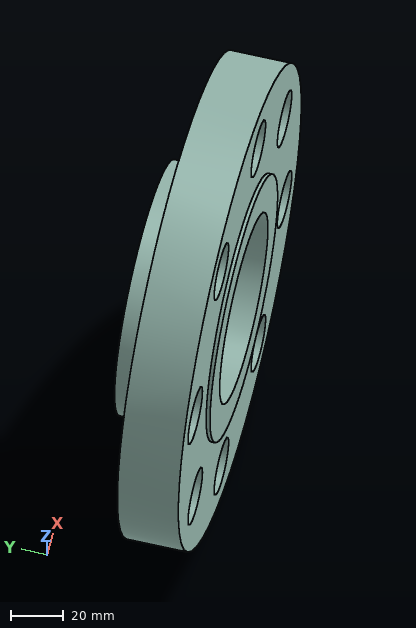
import cadquery as cq

total_length = 38.1
flange_diameter = 190.5
flange_thickness = 24.0
raised_face_diameter = 104.5
raised_face_height = 1.5
hub_diameter = 100.0
bore_diameter = 74.7

bolt_hole_count = 8
bolt_hole_diameter = 22.3
bolt_circle_diameter = 149.4
first_bolt_angle = 180 / bolt_hole_count

hub_height = total_length - flange_thickness - raised_face_height


def disc(diameter, start_y, thickness):
    """Solid disc about the Y axis, extending toward +Y from start_y."""
    plane = cq.Workplane("XZ", origin=(0, start_y, 0))
    return plane.circle(diameter / 2).extrude(-thickness)


raised_face = disc(raised_face_diameter, 0, raised_face_height)
flange = disc(flange_diameter, raised_face_height, flange_thickness)
hub = disc(hub_diameter, raised_face_height + flange_thickness, hub_height)
body = raised_face.union(flange).union(hub)

bore = disc(bore_diameter, 0, total_length)

bolt_holes = (
    cq.Workplane("XZ")
    .polarArray(bolt_circle_diameter / 2, first_bolt_angle, 360, bolt_hole_count)
    .circle(bolt_hole_diameter / 2)
    .extrude(-total_length)
)

result = body.cut(bore).cut(bolt_holes)